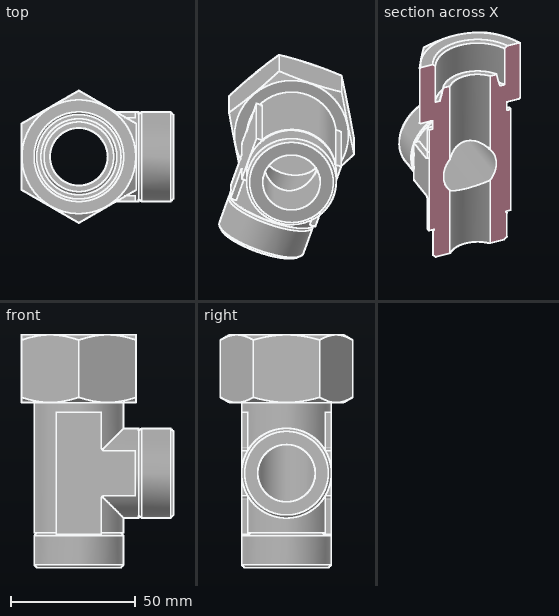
import cadquery as cq
import math

height = 93.5
branch_z = 38.0
branch_reach = 38.0
body_radius = 36.0 / 2
bore_radius = 23.0 / 2

end_chamfer = 1.2
neck_distance = 14.0
neck_depth = 0.9
neck_width = 1.2

pad_width = body_radius
pad_bottom = 13.5
pad_top = 62.4
pad_reach = 22.5
pad_corner_radius = 1.3

nut_across_flats = 46.0
nut_height = 27.3
nut_face_radius = 45.6 / 2
nut_bevel_angle = 30.0

socket_radius = 33.85 / 2
socket_mouth_radius = body_radius
tip_recess = 12.5
tip_radius = 28.0 / 2
tip_base_radius = 30.5 / 2
tip_half_angle = 12.0


def male_spigot(length):
    """Solid of revolution along +Z from a chamfered end at Z = 0, with a neck groove."""
    return (
        cq.Workplane("XZ")
        .lineTo(body_radius - end_chamfer, 0)
        .lineTo(body_radius, end_chamfer)
        .lineTo(body_radius, neck_distance - neck_width)
        .lineTo(body_radius - neck_depth, neck_distance)
        .lineTo(body_radius, neck_distance)
        .lineTo(body_radius, length)
        .lineTo(0, length)
        .close()
        .revolve(360, (0, 0, 0), (0, 1, 0))
    )


def to_branch(shape):
    """Move a shape built upward from Z = 0 so that it runs inward from the branch end."""
    return shape.rotate((0, 0, 0), (0, 1, 0), -90).translate((branch_reach, 0, branch_z))


def side_pads():
    """T-shaped plate through the body that leaves a flat pad on each side."""
    thickness = 2 * body_radius
    pad_height = pad_top - pad_bottom
    upright = cq.Workplane("XY").box(pad_width, thickness, pad_height)
    upright = upright.translate((0, 0, (pad_top + pad_bottom) / 2))
    arm = cq.Workplane("XY").box(pad_reach, thickness, pad_width)
    arm = arm.translate((pad_reach / 2, 0, branch_z))
    inner_corner = cq.selectors.BoxSelector(
        (pad_width / 4, -body_radius, branch_z - pad_width),
        (pad_width, body_radius, branch_z + pad_width),
    )
    return upright.union(arm).edges("|Y").edges(inner_corner).fillet(pad_corner_radius)


def union_nut():
    """Hexagon with corners on the Y axis, bevelled conically at both ends."""
    corner_radius = nut_across_flats / math.sqrt(3)
    bevel_drop = (corner_radius - nut_face_radius) * math.tan(math.radians(nut_bevel_angle))
    hexagon = (
        cq.Workplane("XY")
        .polygon(6, 2 * corner_radius)
        .extrude(nut_height)
        .rotate((0, 0, 0), (0, 0, 1), 90)
    )
    bevel_envelope = (
        cq.Workplane("XZ")
        .lineTo(nut_face_radius, 0)
        .lineTo(corner_radius, bevel_drop)
        .lineTo(corner_radius, nut_height - bevel_drop)
        .lineTo(nut_face_radius, nut_height)
        .lineTo(0, nut_height)
        .close()
        .revolve(360, (0, 0, 0), (0, 1, 0))
    )
    return hexagon.intersect(bevel_envelope).translate((0, 0, height - nut_height))


def nut_socket():
    """Chamfered socket that leaves a ring-shaped gap around the conical tip of the body."""
    tip_top = height - tip_recess
    tip_length = (tip_base_radius - tip_radius) / math.tan(math.radians(tip_half_angle))
    socket_floor = tip_top - tip_length
    mouth_chamfer = socket_mouth_radius - socket_radius
    return (
        cq.Workplane("XZ")
        .moveTo(0, tip_top)
        .lineTo(tip_radius, tip_top)
        .lineTo(tip_base_radius, socket_floor)
        .lineTo(socket_radius, socket_floor)
        .lineTo(socket_radius, height - mouth_chamfer)
        .lineTo(socket_mouth_radius, height)
        .lineTo(0, height)
        .close()
        .revolve(360, (0, 0, 0), (0, 1, 0))
    )


run = male_spigot(height - nut_height)
branch = to_branch(male_spigot(branch_reach))
run_bore = cq.Workplane("XY").circle(bore_radius).extrude(height)
branch_bore = to_branch(cq.Workplane("XY").circle(bore_radius).extrude(branch_reach))

result = (
    run.union(branch)
    .union(side_pads())
    .union(union_nut())
    .cut(nut_socket())
    .cut(run_bore)
    .cut(branch_bore)
)